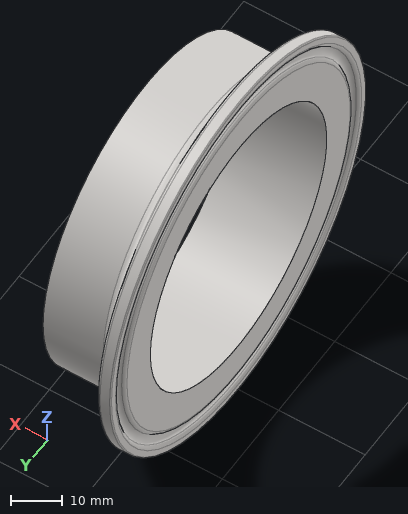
import cadquery as cq
import math

length = 21.5
rim_radius = 45.5
pipe_radius = 36.6
bore_radius = 31.4

rim_thickness = 2.9
cone_angle = 20.0
neck_fillet = 2.0
rim_back_fillet = 0.6
rim_front_fillet = 0.3

groove_radius = 41.8
groove_width = 4.1
bottom_width = 2.3
lip_angle = 70.0

groove_half_width = groove_width / 2
bottom_half_width = bottom_width / 2
cone_run = (rim_radius - pipe_radius) * math.tan(math.radians(cone_angle))


def ring_edge(x, radius):
    """Selector for the circular edges at a given X, up to a given radius."""
    reach = 0.01
    return cq.selectors.BoxSelector(
        (x - reach, -radius - reach, -radius - reach),
        (x + reach, radius + reach, radius + reach),
        boundingbox=True,
    )


def make_body():
    """Flange, neck and pipe with a plain bore."""
    neck_x = rim_thickness + cone_run
    profile = (
        cq.Workplane("XY")
        .moveTo(0, bore_radius)
        .lineTo(0, rim_radius)
        .lineTo(rim_thickness, rim_radius)
        .lineTo(neck_x, pipe_radius)
        .lineTo(length, pipe_radius)
        .lineTo(length, bore_radius)
        .close()
    )
    body = profile.revolve(360, (0, 0, 0), (1, 0, 0))
    body = body.edges(ring_edge(neck_x, pipe_radius)).fillet(neck_fillet)
    body = body.edges(ring_edge(rim_thickness, rim_radius)).fillet(rim_back_fillet)
    return body.faces("<X").edges(
        cq.selectors.RadiusNthSelector(-1)
    ).fillet(rim_front_fillet)


def make_groove():
    """Ring of material removed for the gasket bead."""
    angle = math.radians(lip_angle)
    lip_radius = (groove_half_width - bottom_half_width) / math.sin(angle)
    bottom_radius = bottom_half_width / math.sin(angle)
    lip_depth = lip_radius * (1 - math.cos(angle))
    depth = lip_depth + bottom_radius * (1 - math.cos(angle))

    mid_depth = lip_radius * (1 - math.cos(angle / 2))
    mid_offset = groove_half_width - lip_radius * math.sin(angle / 2)

    profile = (
        cq.Workplane("XY")
        .moveTo(0, groove_radius - groove_half_width)
        .threePointArc(
            (mid_depth, groove_radius - mid_offset),
            (lip_depth, groove_radius - bottom_half_width),
        )
        .threePointArc(
            (depth, groove_radius),
            (lip_depth, groove_radius + bottom_half_width),
        )
        .threePointArc(
            (mid_depth, groove_radius + mid_offset),
            (0, groove_radius + groove_half_width),
        )
        .close()
    )
    return profile.revolve(360, (0, 0, 0), (1, 0, 0))


result = make_body().cut(make_groove())